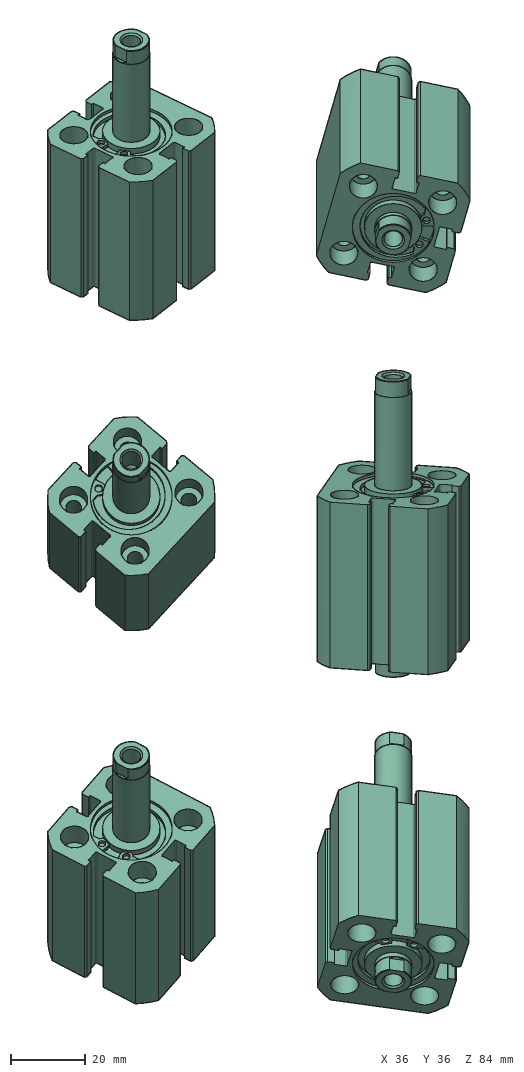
import cadquery as cq
import math


TOTAL_LENGTH = 84.0
LOWER_ROD_REACH = 6.0
HOUSING_LENGTH = 47.0
HOUSING_BOTTOM = LOWER_ROD_REACH
HOUSING_TOP = HOUSING_BOTTOM + HOUSING_LENGTH
HOUSING_MIDDLE = (HOUSING_BOTTOM + HOUSING_TOP) / 2

HOUSING_WIDTH = 36.0
HALF_WIDTH = HOUSING_WIDTH / 2
CORNER_RADIUS = 22.5

SLOT_MOUTH_WIDTH = 5.2
SLOT_INNER_WIDTH = 6.6
SLOT_LIP = 2.4
SLOT_DEPTH = 6.0
SLOT_MOUTH_CHAMFER = 0.5
SLOT_FLOOR_ROUND = 0.3
SLOT_ANGLES = (-90, 0, 180)

MOUNT_SPACING = 22.0
MOUNT_HOLE_DIAMETER = 4.2
MOUNT_BORE_DIAMETER = 7.6
MOUNT_BORE_DEPTH = 7.0

ROD_DIAMETER = 10.0
ROD_RADIUS = ROD_DIAMETER / 2
ROD_TIP_DIAMETER = 9.8
ROD_TIP_RADIUS = ROD_TIP_DIAMETER / 2
ROD_TIP_LENGTH = 4.5
FLAT_LENGTH = 4.0
ACROSS_FLATS = 9.0
TIP_CHAMFER = 0.2
TAP_RADIUS = 2.5
TAP_MOUTH_RADIUS = 3.0
TAP_DEPTH = 12.0
TAP_POINT_ANGLE = 118.0

SEAT_RADIUS = 11.0
GUIDE_BOSS_RADIUS = 7.7
GUIDE_FLANGE_LENGTH = 6.0

RING_SINK = 0.8
RING_THICKNESS = 1.0
RING_OPENING_RADIUS = 9.75
RING_OPENING_OFFSET = 0.8
RING_SHOULDER_Y = -7.2
RING_EAR_RADIUS = 1.85
RING_EAR_HOLE_RADIUS = 1.0
RING_EAR_X = 3.95
RING_EAR_Y = -8.2
RING_GAP_INNER_WIDTH = 4.2
RING_GAP_OUTER_WIDTH = 5.2

FLANGE_SINK = RING_SINK + RING_THICKNESS
SEAT_DEPTH = FLANGE_SINK + GUIDE_FLANGE_LENGTH


def mirrored_to_bottom(body):
    """Copy a body from the top end of the housing to its bottom end."""
    return body.mirror("XY", (0, 0, HOUSING_MIDDLE))


def cylinder(radius, bottom, length):
    return cq.Workplane("XY").workplane(offset=bottom).circle(radius).extrude(length)


def sensor_slot():
    """T-shaped slot opening on the +X face, with chamfered mouth edges and rounded floor corners."""
    floor_x = HALF_WIDTH - SLOT_DEPTH
    lip_x = HALF_WIDTH - SLOT_LIP
    inner = (
        cq.Workplane("XY", (0, 0, HOUSING_BOTTOM))
        .center((floor_x + lip_x) / 2, 0)
        .rect(lip_x - floor_x, SLOT_INNER_WIDTH)
        .extrude(HOUSING_LENGTH)
        .edges("|Z and <X")
        .fillet(SLOT_FLOOR_ROUND)
    )
    half_mouth = SLOT_MOUTH_WIDTH / 2
    half_entry = half_mouth + SLOT_MOUTH_CHAMFER
    chamfer_x = HALF_WIDTH - SLOT_MOUTH_CHAMFER
    mouth = (
        cq.Workplane("XY", (0, 0, HOUSING_BOTTOM))
        .moveTo(lip_x, -half_mouth)
        .lineTo(chamfer_x, -half_mouth)
        .lineTo(HALF_WIDTH, -half_entry)
        .lineTo(HALF_WIDTH, half_entry)
        .lineTo(chamfer_x, half_mouth)
        .lineTo(lip_x, half_mouth)
        .close()
        .extrude(HOUSING_LENGTH)
    )
    return inner.union(mouth)


def make_housing():
    square = (
        cq.Workplane("XY", (0, 0, HOUSING_BOTTOM))
        .rect(HOUSING_WIDTH, HOUSING_WIDTH)
        .extrude(HOUSING_LENGTH)
    )
    housing = square.intersect(cylinder(CORNER_RADIUS, HOUSING_BOTTOM, HOUSING_LENGTH))
    for angle in SLOT_ANGLES:
        housing = housing.cut(sensor_slot().rotate((0, 0, 0), (0, 0, 1), angle))

    for face in (">Z", "<Z"):
        housing = (
            housing.faces(face)
            .workplane(origin=(0, 0, 0))
            .rect(MOUNT_SPACING, MOUNT_SPACING, forConstruction=True)
            .vertices()
            .cboreHole(MOUNT_HOLE_DIAMETER, MOUNT_BORE_DIAMETER, MOUNT_BORE_DEPTH)
        )

    seat = cylinder(SEAT_RADIUS, HOUSING_TOP - SEAT_DEPTH, SEAT_DEPTH)
    rod_bore = cylinder(ROD_RADIUS, HOUSING_BOTTOM, HOUSING_LENGTH)
    return housing.cut(seat).cut(mirrored_to_bottom(seat)).cut(rod_bore)


def lower_tip_flats():
    """Material outside the two wrench flats of the lower tip; 45 degree ramps end the flats."""
    reach = 2 * ROD_RADIUS
    half_across = ACROSS_FLATS / 2
    ramp = reach - half_across
    front = (
        cq.Workplane("YZ")
        .moveTo(-half_across, 0)
        .lineTo(-half_across, FLAT_LENGTH)
        .lineTo(-reach, FLAT_LENGTH + ramp)
        .lineTo(-reach, 0)
        .close()
        .extrude(reach, both=True)
    )
    return front.union(front.mirror("XZ"))


def tapped_hole():
    """Countersunk blind hole running up from Z = 0, with a drill-point end."""
    point_length = TAP_RADIUS / math.tan(math.radians(TAP_POINT_ANGLE / 2))
    return (
        cq.Workplane("XZ")
        .moveTo(0, 0)
        .lineTo(TAP_MOUTH_RADIUS, 0)
        .lineTo(TAP_RADIUS, TAP_MOUTH_RADIUS - TAP_RADIUS)
        .lineTo(TAP_RADIUS, TAP_DEPTH)
        .lineTo(0, TAP_DEPTH + point_length)
        .close()
        .revolve(360, (0, 0, 0), (0, 1, 0))
    )


def make_rod():
    shank = cylinder(ROD_RADIUS, ROD_TIP_LENGTH, TOTAL_LENGTH - 2 * ROD_TIP_LENGTH)
    tips = cylinder(ROD_TIP_RADIUS, 0, TOTAL_LENGTH)
    rod = tips.faces("<Z or >Z").chamfer(TIP_CHAMFER).union(shank)
    for lower_cut in (lower_tip_flats(), tapped_hole()):
        upper_cut = lower_cut.mirror("XY", (0, 0, TOTAL_LENGTH / 2))
        rod = rod.cut(lower_cut).cut(upper_cut)
    return rod


def make_guide():
    """Flanged bush around the rod at the top end; its boss is level with the housing face."""
    flange = cylinder(SEAT_RADIUS, HOUSING_TOP - SEAT_DEPTH, GUIDE_FLANGE_LENGTH)
    boss = cylinder(GUIDE_BOSS_RADIUS, HOUSING_TOP - SEAT_DEPTH, SEAT_DEPTH)
    rod_hole = cylinder(ROD_RADIUS, HOUSING_TOP - SEAT_DEPTH, SEAT_DEPTH)
    return flange.union(boss).cut(rod_hole)


def make_ring():
    """Internal retaining ring with an off-centre opening, two pierced ears and a flared gap."""
    bottom = HOUSING_TOP - FLANGE_SINK
    plane = cq.Workplane("XY", (0, 0, bottom))
    ring = cylinder(SEAT_RADIUS, bottom, RING_THICKNESS)

    above_shoulder = (
        plane.center(0, RING_SHOULDER_Y + SEAT_RADIUS)
        .rect(2 * SEAT_RADIUS, 2 * SEAT_RADIUS)
        .extrude(RING_THICKNESS)
    )
    opening = (
        plane.center(0, -RING_OPENING_OFFSET)
        .circle(RING_OPENING_RADIUS)
        .extrude(RING_THICKNESS)
        .intersect(above_shoulder)
    )

    inner_half = RING_GAP_INNER_WIDTH / 2
    outer_half = RING_GAP_OUTER_WIDTH / 2
    gap = (
        plane.moveTo(-inner_half, -GUIDE_BOSS_RADIUS)
        .lineTo(-outer_half, -SEAT_RADIUS)
        .lineTo(outer_half, -SEAT_RADIUS)
        .lineTo(inner_half, -GUIDE_BOSS_RADIUS)
        .lineTo(inner_half, RING_SHOULDER_Y)
        .lineTo(-inner_half, RING_SHOULDER_Y)
        .close()
        .extrude(RING_THICKNESS)
    )

    ear_centres = [(-RING_EAR_X, RING_EAR_Y), (RING_EAR_X, RING_EAR_Y)]
    ears = plane.pushPoints(ear_centres).circle(RING_EAR_RADIUS).extrude(RING_THICKNESS)
    ear_holes = plane.pushPoints(ear_centres).circle(RING_EAR_HOLE_RADIUS).extrude(RING_THICKNESS)
    boss_clearance = cylinder(GUIDE_BOSS_RADIUS, bottom, RING_THICKNESS)
    return ring.cut(opening).cut(gap).union(ears).cut(ear_holes).cut(boss_clearance)


housing = make_housing()
rod = make_rod()
upper_guide = make_guide()
upper_ring = make_ring()

bodies = [housing, rod]
for upper_body in (upper_guide, upper_ring):
    bodies.append(upper_body)
    bodies.append(mirrored_to_bottom(upper_body))

result = cq.Compound.makeCompound([body.val() for body in bodies])